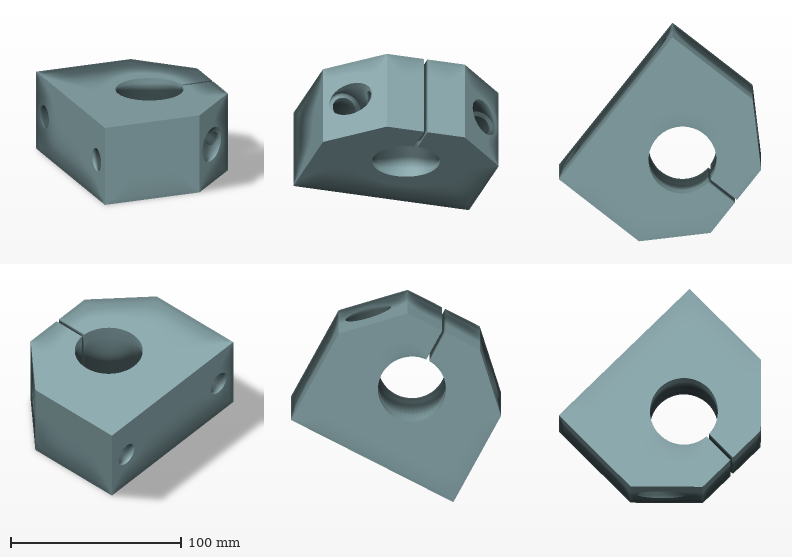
import cadquery as cq

width = 108.0
depth = 90.0
height = 48.0
corner_cut = 30.0

bore_diameter = 40.0
bore_to_rear = 40.0
slit_width = 2.0

mount_diameter = 13.9
mount_spacing = 82.0
counterbore_diameter = 20.0
counterbore_depth = corner_cut

clamp_diameter = 8.4
clamp_to_rear = 13.0

rear = depth / 2
bore_y = rear - bore_to_rear


def make_block():
    block = cq.Workplane("XY").box(width, depth, height)
    return block.edges("|Z and >Y").chamfer(corner_cut)


def make_bore_and_slit():
    bore = cq.Workplane("XY").center(0, bore_y).circle(bore_diameter / 2).extrude(height / 2, both=True)
    slit = cq.Workplane("XY").box(slit_width, bore_to_rear, height).translate((0, bore_y + bore_to_rear / 2, 0))
    return bore.union(slit)


def make_mount_hole(x):
    rear_plane = cq.Workplane("XZ", origin=(x, rear, 0))
    through = rear_plane.circle(mount_diameter / 2).extrude(depth)
    counterbore = rear_plane.circle(counterbore_diameter / 2).extrude(counterbore_depth)
    return through.union(counterbore)


def make_clamp_hole():
    side_plane = cq.Workplane("YZ").center(rear - clamp_to_rear, 0)
    return side_plane.circle(clamp_diameter / 2).extrude(width / 2, both=True)


result = make_block().cut(make_bore_and_slit())
for mount_x in (-mount_spacing / 2, mount_spacing / 2):
    result = result.cut(make_mount_hole(mount_x))
result = result.cut(make_clamp_hole())